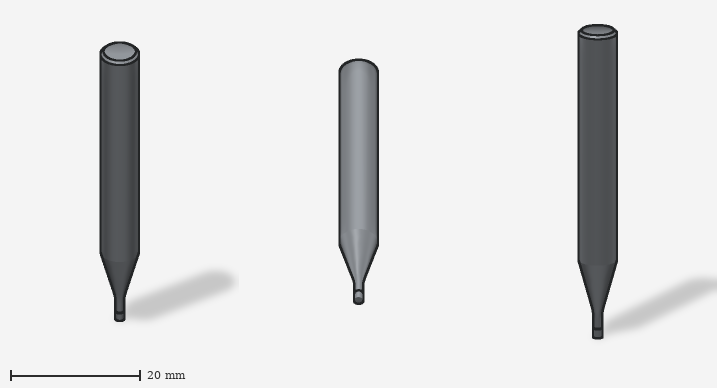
import cadquery as cq
import math

total_length = 50.0
shank_radius = 3.0
shank_chamfer = 0.5

head_radius = 0.75
head_length = 1.6
corner_radius = 0.1

neck_radius = 0.7
step_height = 0.1
flare_start = 3.3
flare_end = 4.95
cone_end = 12.6
iterations = 20


def flare_angle():
    """Half angle of the cone that meets the flare arc tangentially."""
    flare_height = flare_end - flare_start
    cone_height = cone_end - flare_end
    growth = shank_radius - neck_radius
    t = 0.0
    for _ in range(iterations):
        t = growth / (flare_height + 2 * cone_height / (1 - t**2))
    return 2 * math.atan(t)


def make_shank():
    """Shank with chamfered top, cone, tangent flare and neck, as one turned body."""
    angle = flare_angle()
    flare_height = flare_end - flare_start
    flare_radius = neck_radius + flare_height * math.tan(angle / 2)
    arc_radius = flare_height / math.sin(angle)
    middle_radius = neck_radius + arc_radius * (1 - math.cos(angle / 2))
    middle_height = flare_start + arc_radius * math.sin(angle / 2)
    return (
        cq.Workplane("XZ")
        .moveTo(0, head_length)
        .lineTo(neck_radius, head_length)
        .lineTo(neck_radius, flare_start)
        .threePointArc((middle_radius, middle_height), (flare_radius, flare_end))
        .lineTo(shank_radius, cone_end)
        .lineTo(shank_radius, total_length - shank_chamfer)
        .lineTo(shank_radius - shank_chamfer, total_length)
        .lineTo(0, total_length)
        .close()
        .revolve(360, (0, 0), (0, 1))
    )


def make_cutting_head():
    """Cylindrical head with a rounded cutting corner and a taper up to the neck."""
    head = cq.Workplane("XY").circle(head_radius).extrude(head_length)
    head = head.faces("<Z").edges().fillet(corner_radius)
    return head.faces(">Z").edges().chamfer(step_height, head_radius - neck_radius)


shank = make_shank()
cutting_head = make_cutting_head()

result = cq.Compound.makeCompound([shank.val(), cutting_head.val()])